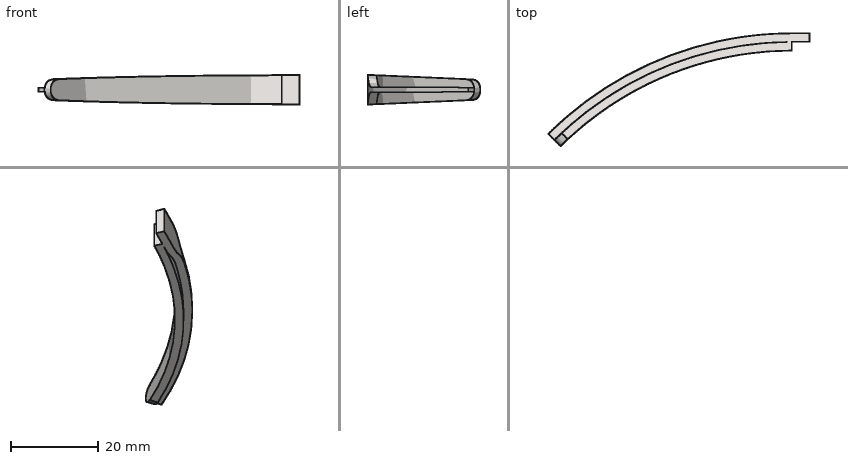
import cadquery as cq
import math

LENGTH = 60.06
FULL_HEIGHT = 6.89
LAYER = 2.0
OUTER_RADIUS = 79.3
STEP_X = -4.1
SIDE_TAPER = 2.5
RIB_HEIGHT = 1.2
RIB_TAPER = 0.25
FLARE_START_X = -15.45
FLARE_END_X = -5.3
MARGIN = 5.0

MID_RADIUS = OUTER_RADIUS - LAYER
INNER_RADIUS = MID_RADIUS - LAYER
FLARE_DEPTH = 2 * LAYER
TIP_ANGLE = math.asin((LENGTH + STEP_X) / OUTER_RADIUS)
TIP_DEPTH = OUTER_RADIUS - INNER_RADIUS * math.cos(TIP_ANGLE)
WEDGE_DEPTH = TIP_DEPTH + MARGIN


def arc_point(radius, angle):
    """Point at an angle from the +Y direction, turning toward -X about the arc centre."""
    return (STEP_X - radius * math.sin(angle), radius * math.cos(angle) - OUTER_RADIUS)


def half_height(full_height, taper, y):
    """Half height at one Y of a body that has its full height at Y = 0."""
    return full_height / 2 + y * math.tan(math.radians(taper))


def curved_layer(outer_radius):
    """One layer of the strip, following the arc from the step to the tip."""
    inner_radius = outer_radius - LAYER
    return (
        cq.Workplane("XY")
        .moveTo(*arc_point(outer_radius, 0))
        .threePointArc(arc_point(outer_radius, TIP_ANGLE / 2), arc_point(outer_radius, TIP_ANGLE))
        .lineTo(*arc_point(inner_radius, TIP_ANGLE))
        .threePointArc(arc_point(inner_radius, TIP_ANGLE / 2), arc_point(inner_radius, 0))
        .close()
        .extrude(FULL_HEIGHT / 2, both=True)
    )


def end_bar():
    """Straight end of the outer layer, reaching past the step."""
    return cq.Workplane("XY").box(-STEP_X, LAYER, FULL_HEIGHT).translate((STEP_X / 2, -LAYER / 2, 0))


def taper_wedge(full_height, taper):
    """Long wedge along X whose height shrinks toward -Y."""
    near = half_height(full_height, taper, 0)
    far = half_height(full_height, taper, -WEDGE_DEPTH)
    return (
        cq.Workplane("YZ")
        .polyline([(0, -near), (0, near), (-WEDGE_DEPTH, far), (-WEDGE_DEPTH, -far)])
        .close()
        .extrude(-LENGTH - MARGIN)
    )


def flare_profile(y):
    """Upper half of the flare at one Y, its edge an S of two equal tangent arcs."""
    low = half_height(RIB_HEIGHT, RIB_TAPER, y)
    high = half_height(FULL_HEIGHT, SIDE_TAPER, y)
    run = (FLARE_END_X - FLARE_START_X) / 2
    rise = (high - low) / 2
    sweep = 2 * math.atan(rise / run)
    radius = run / math.sin(sweep)
    half_run = radius * math.sin(sweep / 2)
    half_rise = radius * (1 - math.cos(sweep / 2))
    return (
        cq.Workplane("XZ", origin=(0, y, 0))
        .moveTo(0, 0)
        .lineTo(0, high)
        .lineTo(FLARE_END_X, high)
        .threePointArc((FLARE_END_X - half_run, high - half_rise), (FLARE_END_X - run, high - rise))
        .threePointArc((FLARE_START_X + half_run, low + half_rise), (FLARE_START_X, low))
        .lineTo(FLARE_START_X, 0)
        .close()
        .val()
    )


def flare_half():
    """Upper half of the widened end of the rib, straight-sided between two flare profiles."""
    profiles = [flare_profile(0), flare_profile(-FLARE_DEPTH)]
    return cq.Workplane(cq.Solid.makeLoft(profiles, True))


def tip_waste():
    """Waste removed from the inner layer to leave a full round at the tip."""
    tip_inner = arc_point(INNER_RADIUS, TIP_ANGLE)
    radius = half_height(FULL_HEIGHT, SIDE_TAPER, tip_inner[1])
    along = (math.cos(TIP_ANGLE), math.sin(TIP_ANGLE), 0)
    outward = (-math.sin(TIP_ANGLE), math.cos(TIP_ANGLE), 0)
    plane = cq.Plane(origin=(*tip_inner, 0), xDir=along, normal=outward)
    square_end = cq.Workplane(plane).rect(2 * radius, FULL_HEIGHT)
    round_end = cq.Workplane(plane).center(radius, 0).circle(radius)
    return square_end.extrude(LAYER, both=True).cut(round_end.extrude(LAYER, both=True))


upper_flare = flare_half()
lower_flare = upper_flare.mirror("XY")
rib_space = taper_wedge(RIB_HEIGHT, RIB_TAPER).union(upper_flare).union(lower_flare)

outer_layer = curved_layer(OUTER_RADIUS).union(end_bar()).intersect(rib_space)
inner_layer = curved_layer(MID_RADIUS).cut(tip_waste())
result = outer_layer.union(inner_layer).intersect(taper_wedge(FULL_HEIGHT, SIDE_TAPER))